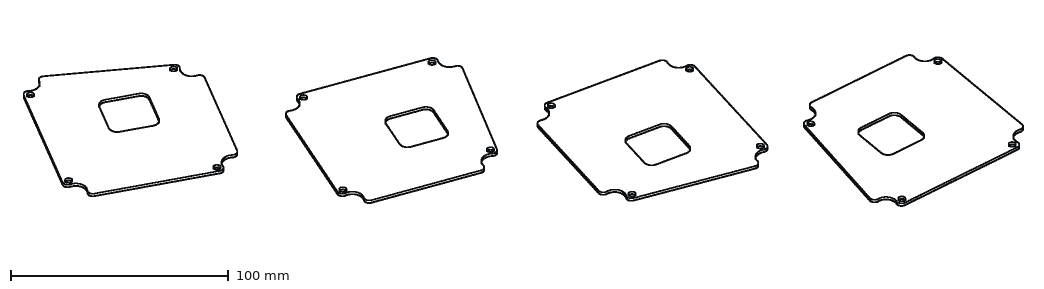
import cadquery as cq
import math

length = 87.75
width = 83.4
thickness = 1.6

corner_radius = 2.5
notch_radius = 5.35
right_tab_x = 78.4

right_corner_x = length - corner_radius
right_tab_corner_x = right_tab_x - corner_radius
top_corner_y = width - corner_radius
bottom_corner_y = corner_radius

notch_corners = [
    ((2.5, 12.1), (10.7, bottom_corner_y)),
    ((right_tab_corner_x, bottom_corner_y), (right_corner_x, 11.8)),
    ((right_corner_x, 71.6), (right_tab_corner_x, top_corner_y)),
    ((21.15, top_corner_y), (10.9, 71.95)),
]

hole_diameter = 3.4
hole_centers = [(11.3, 3.1), (75.4, 3.1), (84.85, 71.1), (11.3, 71.3)]

window_size = 23.95
window_radius = 3.95
window_center = (36.1, 43.1)


def notch_center(first, second):
    """Center of the notch circle that touches both corner circles from outside."""
    dx = second[0] - first[0]
    dy = second[1] - first[1]
    span = math.hypot(dx, dy)
    offset = math.sqrt((corner_radius + notch_radius) ** 2 - (span / 2) ** 2)
    middle_x = (first[0] + second[0]) / 2
    middle_y = (first[1] + second[1]) / 2
    return (middle_x + offset * dy / span, middle_y - offset * dx / span)


def step_toward(start, end, distance):
    """Point at the given distance from start in the direction of end."""
    ratio = distance / math.dist(start, end)
    return (start[0] + ratio * (end[0] - start[0]), start[1] + ratio * (end[1] - start[1]))


def edge_point(corner, start, end):
    """Point where the straight edge running from start to end touches a corner circle."""
    span = math.dist(start, end)
    normal_x = (end[1] - start[1]) / span
    normal_y = (start[0] - end[0]) / span
    return (corner[0] + corner_radius * normal_x, corner[1] + corner_radius * normal_y)


def arc_middle(center, start, end, radius):
    """Middle point of the shorter arc between two points on a circle."""
    chord_middle = ((start[0] + end[0]) / 2, (start[1] + end[1]) / 2)
    return step_toward(center, chord_middle, radius)


def add_arc(path, center, start, end, radius):
    return path.threePointArc(arc_middle(center, start, end, radius), end)


def make_plate():
    last_corner = notch_corners[-1][1]
    first_corner = notch_corners[0][0]
    path = cq.Workplane("XY").moveTo(*edge_point(last_corner, last_corner, first_corner))
    for index, (entry, leave) in enumerate(notch_corners):
        previous = notch_corners[index - 1][1]
        following = notch_corners[(index + 1) % len(notch_corners)][0]
        center = notch_center(entry, leave)
        edge_end = edge_point(entry, previous, entry)
        notch_start = step_toward(entry, center, corner_radius)
        notch_end = step_toward(leave, center, corner_radius)
        edge_start = edge_point(leave, leave, following)
        path = path.lineTo(*edge_end)
        path = add_arc(path, entry, edge_end, notch_start, corner_radius)
        path = add_arc(path, center, notch_start, notch_end, notch_radius)
        path = add_arc(path, leave, notch_end, edge_start, corner_radius)
    return path.close().extrude(thickness)


def make_window():
    block = cq.Workplane("XY").center(*window_center).rect(window_size, window_size).extrude(thickness)
    return block.edges("|Z").fillet(window_radius)


def make_holes():
    return cq.Workplane("XY").pushPoints(hole_centers).circle(hole_diameter / 2).extrude(thickness)


result = make_plate().cut(make_window()).cut(make_holes())